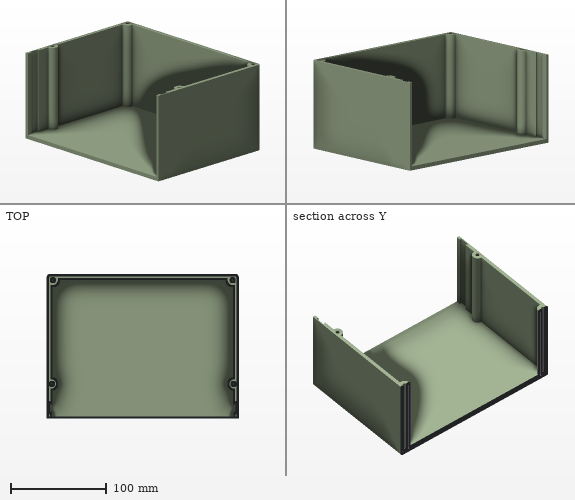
import cadquery as cq

length = 200.0
depth = 150.0
height = 95.0
floor_thickness = 4.5
side_wall = 4.0
back_wall = 4.5
back_corner_radius = 3.0

lip_thickness = 3.2
groove_skin = 1.2
groove_front_inner = 5.5
groove_front_outer = 4.5
groove_rear_inner = 15.0
groove_rear_outer = 16.2

screw_hole_diameter = 4.2
corner_post_radius = 6.5
corner_post_inset = 5.5
front_post_radius = 6.0
front_post_y = 35.5
front_hole_inset = 4.5

half_length = length / 2
wall_height = height - floor_thickness


def make_outer_block():
    block = cq.Workplane("XY").box(length, depth, height, centered=(True, False, False))
    return block.edges("|Z and >Y").fillet(back_corner_radius)


def make_cavity():
    """Open interior, widened between the lips and the side walls by the panel grooves."""
    wall_x = half_length - side_wall
    lip_x = half_length - lip_thickness
    groove_x = half_length - groove_skin
    right_side = [
        (lip_x, 0),
        (lip_x, groove_front_inner),
        (groove_x, groove_front_outer),
        (groove_x, groove_rear_outer),
        (wall_x, groove_rear_inner),
        (wall_x, depth - back_wall),
    ]
    left_side = [(-x, y) for x, y in reversed(right_side)]
    return (
        cq.Workplane("XY", origin=(0, 0, floor_thickness))
        .polyline(right_side + left_side)
        .close()
        .extrude(wall_height)
    )


def mirrored_cylinders(inset, y, radius):
    """Pair of upright cylinders from the floor to the rim, inset from both outer sides."""
    x = half_length - inset
    return (
        cq.Workplane("XY", origin=(0, 0, floor_thickness))
        .pushPoints([(-x, y), (x, y)])
        .circle(radius)
        .extrude(wall_height)
    )


outer_block = make_outer_block()
corner_post_y = depth - corner_post_inset

corner_posts = mirrored_cylinders(corner_post_inset, corner_post_y, corner_post_radius)
front_posts = mirrored_cylinders(side_wall, front_post_y, front_post_radius)
posts = corner_posts.union(front_posts).intersect(outer_block)

hole_radius = screw_hole_diameter / 2
corner_holes = mirrored_cylinders(corner_post_inset, corner_post_y, hole_radius)
front_holes = mirrored_cylinders(front_hole_inset, front_post_y, hole_radius)

result = outer_block.cut(make_cavity()).union(posts).cut(corner_holes).cut(front_holes)